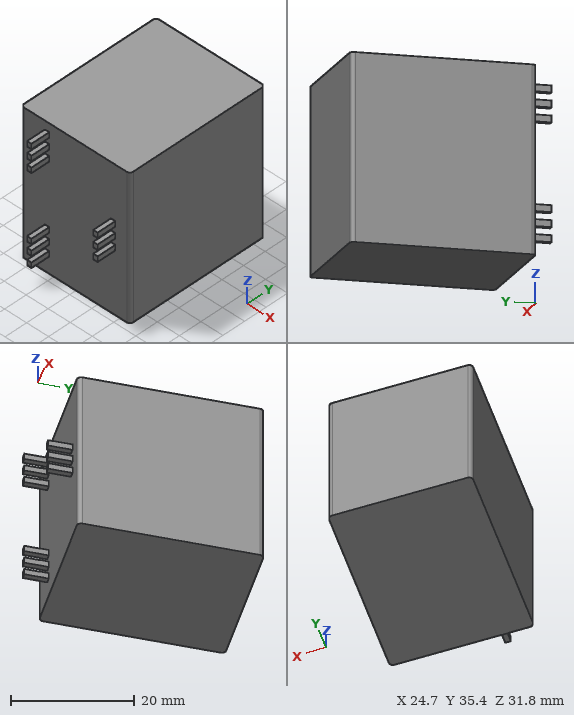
import cadquery as cq

width = 24.7
total_depth = 35.4
height = 31.8

pin_length = 4.1
pin_width = 1.0
pin_height = 1.17
pins_per_group = 3
pin_pitch = 2.5

group_spacing = 10.02
left_column_x = -6.48
column_spacing = 15.0
middle_group_z = 0.9

corner_radius = 0.75

body_depth = total_depth - pin_length
pin_face_y = -body_depth / 2
right_column_x = left_column_x + column_spacing


def make_body():
    """Block centred on the origin with its four vertical edges rounded."""
    return cq.Workplane("XY").box(width, body_depth, height).edges("|Z").fillet(corner_radius)


def make_pin_group(center_x, center_z):
    """Vertical row of pins, extending from the pin face toward -Y."""
    return (
        cq.Workplane("XZ", origin=(center_x, pin_face_y, center_z))
        .rarray(0.35, pin_pitch, 1, pins_per_group)
        .rect(pin_width, pin_height)
        .extrude(pin_length)
    )


group_centers = [
    (left_column_x, middle_group_z + group_spacing),
    (right_column_x, middle_group_z),
    (left_column_x, middle_group_z - group_spacing),
]

result = make_body()
for group_x, group_z in group_centers:
    result = result.union(make_pin_group(group_x, group_z))